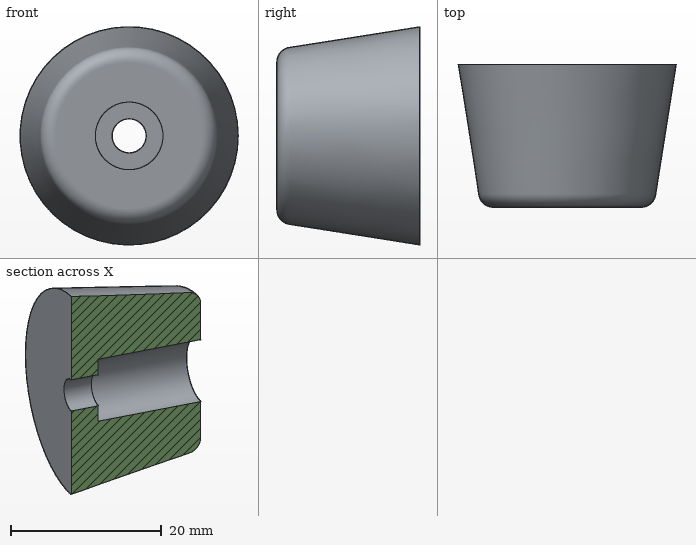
import cadquery as cq

base_diameter = 29.0
tip_diameter = 23.0
length = 19.0
tip_rounding = 2.0
screw_hole_diameter = 4.5
counterbore_diameter = 9.0
counterbore_depth = 15.0


def tapered_body():
    """Solid cone frustum with its tip face on Y = 0 and a rounded tip edge."""
    frustum = (
        cq.Workplane("XY")
        .moveTo(0, 0)
        .lineTo(tip_diameter / 2, 0)
        .lineTo(base_diameter / 2, length)
        .lineTo(0, length)
        .close()
        .revolve(360, (0, 0, 0), (0, 1, 0))
    )
    return frustum.faces("<Y").edges().fillet(tip_rounding)


def bore(diameter, depth):
    """Cylinder running from the tip face toward the base."""
    return cq.Workplane("XZ").circle(diameter / 2).extrude(-depth)


screw_hole = bore(screw_hole_diameter, length)
counterbore = bore(counterbore_diameter, counterbore_depth)

result = tapered_body().cut(screw_hole).cut(counterbore)